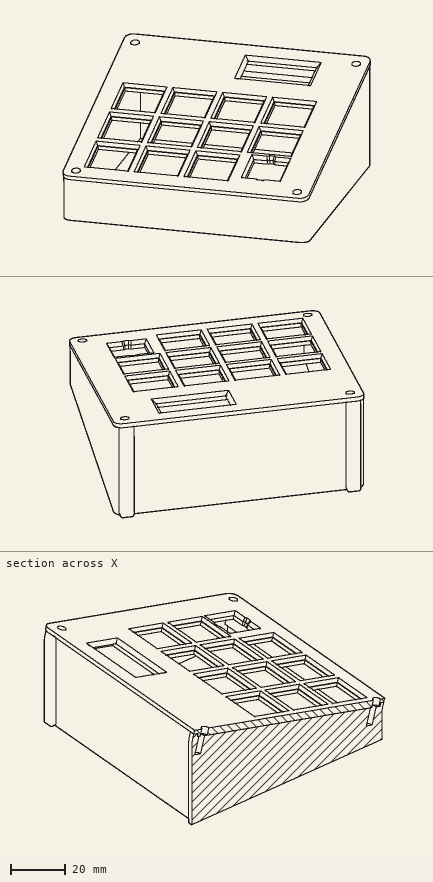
import cadquery as cq
import math

width = 94.0
base_depth = 90.0
tilt = 14.8
bend_height = 13.1
rim_height = 5.0
corner_radius = 3.2
bend_radius = 9.4

slope_sin = math.sin(math.radians(tilt))
slope_cos = math.cos(math.radians(tilt))
slope_tan = math.tan(math.radians(tilt))

lid_thickness = 1.6
panel_thickness = 3.0
lid_length = base_depth / slope_cos
bezel_depth = 1.5
panel_margin = 1.7
panel_rear_margin = 2.35

rear_recess = 1.7
wall = 7.0
floor = 3.0
pocket_depth = 8.65
pocket_front = 7.6
pocket_rear = 4.7
cavity_width = width - 2 * wall
rear_wall_y = base_depth - rear_recess

pad_width = 5.45
pad_offset = 42.6
pad_rounding = 1.0

screw_hole = 3.2
screw_offset = 42.3
screw_front = 3.9
screw_rear = 5.4
pilot_hole = 2.5
pilot_shift = 0.9
pilot_depth = 7.5

key_pitch = 19.1
key_columns = 4
key_rows = 3
first_key_x = -31.5
first_key_v = 15.1
key_mouth = 16.8
key_throat = 15.6
key_hole = 15.0

knob_x = 26.9
knob_v = 17.0
knob_hole = 13.3
knob_bevel = 0.8
notch_tip = 1.3
notch_base = 2.8
notch_depth = 0.5
notch_widening = 0.6

screen_x = 14.8
screen_v = 78.9
screen_width = 26.0
screen_height = 12.1
screen_pocket = 29.1
screen_bevel = 1.5


def slope_plane(depth):
    """Plane parallel to the lid, `depth` below its top, with its origin under the front edge."""
    up = rim_height - depth
    return cq.Plane(
        origin=(0, -up * slope_sin, bend_height + up * slope_cos),
        xDir=(1, 0, 0),
        normal=(0, -slope_sin, slope_cos),
    )


def side_point(depth, v):
    """(Y, Z) of the point `v` up the slope and `depth` below the top of the lid."""
    point = slope_plane(depth).toWorldCoords((0, v, 0))
    return (point.y, point.z)


def slope_block(depth, thickness, x_size, v_start, v_end):
    """Block parallel to the lid, from `depth` down to `depth + thickness`."""
    middle = (v_start + v_end) / 2
    return (
        cq.Workplane(slope_plane(depth))
        .center(0, middle)
        .rect(x_size, v_end - v_start)
        .extrude(-thickness)
    )


def round_slope_corners(block, radius):
    square_to_lid = cq.selectors.ParallelDirSelector(slope_plane(0).zDir)
    return block.edges(square_to_lid).fillet(radius)


def along_x(outline, x_size):
    """Extrude a side outline evenly to both sides of X = 0."""
    return outline.close().extrude(x_size / 2, both=True)


def near_y(y):
    """Selects edges whose middle lies close to the upright plane at `y`."""
    reach = 1.9
    return cq.selectors.BoxSelector((-width, y - reach, 0), (width, y + reach, width))


def bend_points(y, z):
    """Ends and middle of the arc that blends an upright wall at (y, z) into the rim leaning forward."""
    half_angle = math.radians(tilt / 2)
    tangent = bend_radius * math.tan(half_angle)
    sag = bend_radius * (1 / math.cos(half_angle) - 1)
    below = (y, z - tangent)
    above = (y - tangent * slope_sin, z + tangent * slope_cos)
    middle = (y - sag * math.cos(half_angle), z - sag * math.sin(half_angle))
    return below, middle, above


def panel():
    """Block that fills the recess inside the rim of the case."""
    drop = panel_thickness - lid_thickness
    panel_width = width - 2 * panel_margin
    block = slope_block(lid_thickness, drop, panel_width, panel_margin, lid_length - panel_rear_margin)
    return round_slope_corners(block, corner_radius - panel_margin)


def screw_points(shift):
    rows = (screw_front + shift, lid_length - screw_rear + shift)
    return [(x, v) for x in (-screw_offset, screw_offset) for v in rows]


def screw_holes(diameter, depth, length, shift):
    return (
        cq.Workplane(slope_plane(depth))
        .pushPoints(screw_points(shift))
        .circle(diameter / 2)
        .extrude(-length)
    )


def case_shell():
    """Solid wedge with a leaning front rim and rounded upright corners."""
    front_low, front_middle, front_high = bend_points(0, bend_height)
    seam_front = side_point(lid_thickness, 0)
    seam_rear_z = seam_front[1] + (rear_wall_y - seam_front[0]) * slope_tan
    outline = (
        cq.Workplane("YZ")
        .moveTo(0, 0)
        .lineTo(rear_wall_y, 0)
        .lineTo(rear_wall_y, seam_rear_z)
        .lineTo(*seam_front)
        .lineTo(*front_high)
        .threePointArc(front_middle, front_low)
    )
    shell = along_x(outline, width)
    shell = shell.faces("<X or >X").edges(near_y(0)).fillet(corner_radius)
    return shell.faces("<X or >X").edges(near_y(rear_wall_y)).fillet(corner_radius)


def rear_pad(x):
    """Upright pad on the rear wall, leaning forward at the top to meet the lid."""
    start = base_depth - 2 * rear_recess
    rear_bend = bend_height + base_depth * slope_tan
    low, middle, high = bend_points(base_depth, rear_bend)
    seam = side_point(lid_thickness, lid_length)
    outline = (
        cq.Workplane("YZ")
        .moveTo(start, 0)
        .lineTo(base_depth, 0)
        .lineTo(*low)
        .threePointArc(middle, high)
        .lineTo(*seam)
        .lineTo(start, seam[1] - (seam[0] - start) * slope_tan)
    )
    pad = along_x(outline, pad_width)
    pad = pad.faces("<X or >X").edges(near_y(base_depth)).fillet(pad_rounding)
    return pad.translate((x, 0, 0))


def cavity():
    """Upright room inside the walls, up to the floor of the sloping pocket."""
    front = wall
    rear = base_depth - wall
    ledge = side_point(pocket_depth, 0)
    outline = (
        cq.Workplane("YZ")
        .moveTo(front, floor)
        .lineTo(rear, floor)
        .lineTo(rear, ledge[1] + (rear - ledge[0]) * slope_tan)
        .lineTo(front, ledge[1] + (front - ledge[0]) * slope_tan)
    )
    return along_x(outline, cavity_width)


def pocket():
    """Sloping room between the panel of the lid and the ledge."""
    depth = pocket_depth - panel_thickness
    return slope_block(panel_thickness, depth, cavity_width, pocket_front, lid_length - pocket_rear)


def make_case():
    case = case_shell()
    for x in (-pad_offset, pad_offset):
        case = case.union(rear_pad(x))
    case = case.cut(cavity()).cut(pocket()).cut(panel())
    return case.cut(screw_holes(pilot_hole, panel_thickness, pilot_depth, pilot_shift))


def rectangle(x_size, v_size):
    x = x_size / 2
    v = v_size / 2
    return [(x, v), (-x, v), (-x, -v), (x, -v)]


def opening(x, v, mouth, throat, hole):
    """Opening through the lid: walls slope from mouth to throat, then a straight hole goes below."""
    bezel = (
        cq.Workplane(slope_plane(0))
        .center(x, v)
        .polyline(mouth)
        .close()
        .workplane(offset=-bezel_depth)
        .polyline(throat)
        .close()
        .loft(ruled=True)
    )
    straight = (
        cq.Workplane(slope_plane(bezel_depth))
        .center(x, v)
        .polyline(hole)
        .close()
        .extrude(bezel_depth - panel_thickness)
    )
    return bezel.union(straight)


def key_opening(x, v):
    mouth = rectangle(key_mouth, key_mouth)
    throat = rectangle(key_throat, key_throat)
    hole = rectangle(key_hole, key_hole)
    return opening(x, v, mouth, throat, hole)


def screen_opening():
    mouth = rectangle(screen_width + 2 * screen_bevel, screen_height + 2 * screen_bevel)
    throat = rectangle(screen_width, screen_height)
    hole = rectangle(screen_pocket, screen_height)
    return opening(screen_x, screen_v, mouth, throat, hole)


def notched_square(side, widening):
    """Square with a small notch, wider by `widening`, in the middle of its front and rear sides."""
    half = side / 2
    base = (notch_base + widening) / 2
    tip = (notch_tip + widening) / 2
    rear_side = [
        (half, half),
        (base, half),
        (tip, half + notch_depth),
        (-tip, half + notch_depth),
        (-base, half),
        (-half, half),
    ]
    front_side = [(-x, -v) for x, v in rear_side]
    return rear_side + front_side


def knob_opening():
    mouth = notched_square(knob_hole + 2 * knob_bevel, notch_widening)
    hole = notched_square(knob_hole, 0)
    return opening(knob_x, knob_v, mouth, hole, hole)


def make_lid():
    rim = slope_block(0, lid_thickness, width, 0, lid_length)
    lid = round_slope_corners(rim, corner_radius).union(panel())
    for column in range(key_columns):
        for row in range(key_rows):
            if column == key_columns - 1 and row == 0:
                continue
            lid = lid.cut(key_opening(first_key_x + column * key_pitch, first_key_v + row * key_pitch))
    lid = lid.cut(knob_opening()).cut(screen_opening())
    return lid.cut(screw_holes(screw_hole, 0, panel_thickness, 0))


case = make_case()
lid = make_lid()
result = cq.Compound.makeCompound([case.val(), lid.val()])